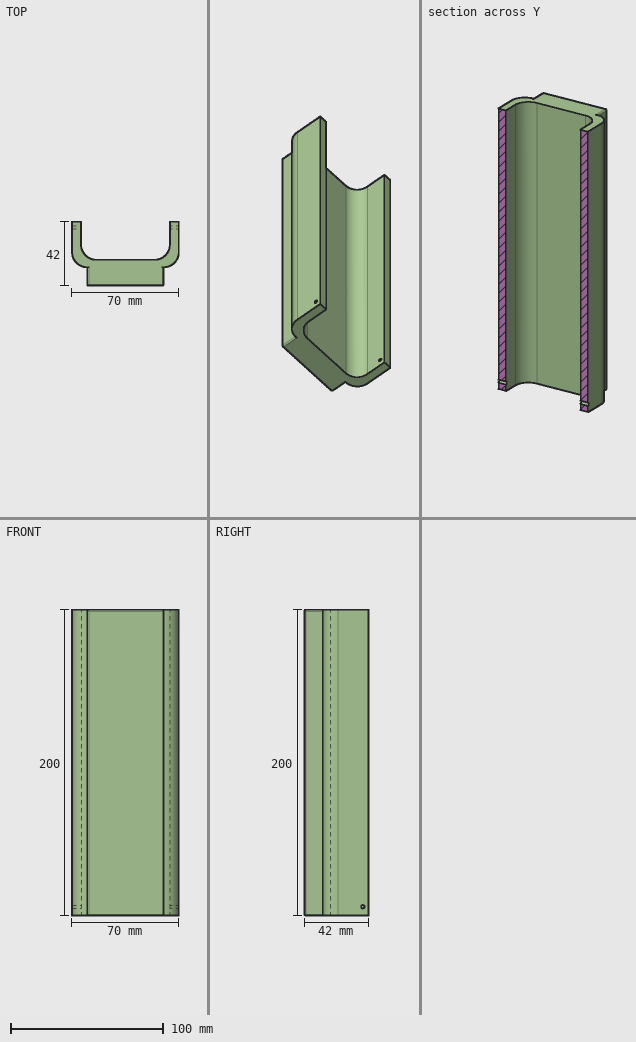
import cadquery as cq

LENGTH = 200.0
CHANNEL_WIDTH = 70.0
CHANNEL_DEPTH = 30.0
WALL_THICKNESS = 6.0
FLOOR_THICKNESS = 5.0
OUTER_RADIUS = 10.0
INNER_RADIUS = 10.0

PAD_WIDTH = CHANNEL_WIDTH - 2 * OUTER_RADIUS
PAD_HEIGHT = 12.0
PAD_EDGE_RADIUS = 1.0

HOLE_DIAMETER = 2.0
HOLE_FROM_RIM = 3.75
HOLE_FROM_BOTTOM = 5.75

BACK_Y = PAD_HEIGHT
FLOOR_Y = BACK_Y + FLOOR_THICKNESS
RIM_Y = BACK_Y + CHANNEL_DEPTH


def box_between(width, y_start, y_end):
    """Full-length box centred on X, spanning y_start to y_end."""
    depth = y_end - y_start
    return (
        cq.Workplane("XY")
        .box(width, depth, LENGTH, centered=(True, False, False))
        .translate((0, y_start, 0))
    )


def make_channel():
    """U-shaped channel with rounded outer and inner corners."""
    outer = box_between(CHANNEL_WIDTH, BACK_Y, RIM_Y).edges("|Z and <Y").fillet(OUTER_RADIUS)
    cavity_width = CHANNEL_WIDTH - 2 * WALL_THICKNESS
    cavity = box_between(cavity_width, FLOOR_Y, RIM_Y).edges("|Z and <Y").fillet(INNER_RADIUS)
    return outer.cut(cavity)


def make_pad():
    """Rectangular pad, rounded on every edge except those at the channel."""
    pad = box_between(PAD_WIDTH, 0, BACK_Y)
    return pad.edges("not >Y").fillet(PAD_EDGE_RADIUS)


def make_cross_hole():
    """Cylinder along X that pierces both side walls."""
    return (
        cq.Workplane("YZ")
        .center(RIM_Y - HOLE_FROM_RIM, HOLE_FROM_BOTTOM)
        .circle(HOLE_DIAMETER / 2)
        .extrude(CHANNEL_WIDTH / 2, both=True)
    )


result = make_channel().union(make_pad()).cut(make_cross_hole())